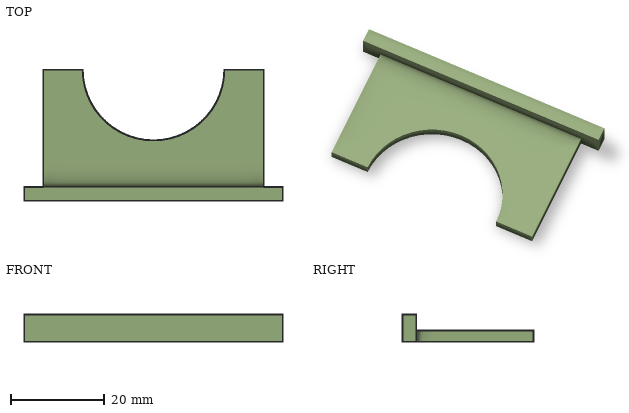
import cadquery as cq

length = 55.6
depth = 28.2
height = 5.9

bar_thickness = 3.0
plate_width = 47.4
plate_thickness = 2.5

cutout_radius = 15.2

rear_y = depth - bar_thickness


def make_bar():
    """Full-length upright bar whose rear face lies on Y = 0."""
    return cq.Workplane("XY").box(length, bar_thickness, height, centered=(True, False, False)).translate(
        (0, -bar_thickness, 0)
    )


def make_plate():
    """Flat plate running back from the bar, flush with its underside."""
    plate = cq.Workplane("XY").box(plate_width, rear_y, plate_thickness, centered=(True, False, False))
    cutout = cq.Workplane("XY").center(0, rear_y).circle(cutout_radius).extrude(plate_thickness)
    return plate.cut(cutout)


result = make_bar().union(make_plate())